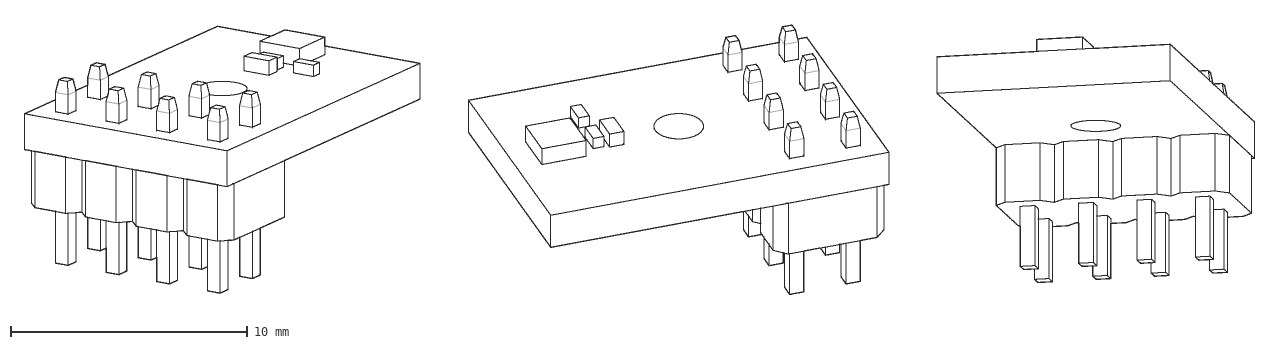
import cadquery as cq


board_length = 15.24
pitch = board_length / 6
pin_columns = 4
pin_rows = 2

board_width = pin_columns * pitch
board_thickness = 1.58
mounting_hole_diameter = 2.1

header_height = 2.5
header_width = pin_columns * pitch
header_depth = 5.0
header_y = pitch - board_length / 2
corner_cut = 0.5

total_height = 8.1
pin_width = 0.64
pin_tail = 2.6
pin_tip_width = 0.44
pin_tip_height = 0.55
pin_shaft_height = total_height - pin_tip_height
pin_bottom_z = -header_height - pin_tail

sensor_chip_size = (2.0, 2.0, 0.78)
small_passive_size = (1.0, 0.49, 0.5)
large_passive_size = (1.25, 0.64, 0.64)

sensor_chip_y = 5.53
small_passive_y = 3.8
large_passive_y = 3.02
second_passive_x = 1.81

components = [
    (sensor_chip_size, (0, sensor_chip_y)),
    (small_passive_size, (0, small_passive_y)),
    (small_passive_size, (second_passive_x, small_passive_y)),
    (large_passive_size, (0, large_passive_y)),
]


def at_pins(z):
    """Workplane at height z with a point at every pin of the header."""
    return (
        cq.Workplane("XY", origin=(0, header_y, z))
        .rarray(pitch, pitch, pin_columns, pin_rows)
    )


def make_component(size, centre):
    """Rectangular component standing on the board's upper face."""
    length, width, height = size
    return (
        cq.Workplane("XY", origin=(*centre, board_thickness))
        .rect(length, width)
        .extrude(height)
    )


def make_board():
    """Board with its mounting hole, square pin holes and soldered components."""
    board = (
        cq.Workplane("XY")
        .rect(board_width, board_length)
        .circle(mounting_hole_diameter / 2)
        .extrude(board_thickness)
    )
    board = board.cut(at_pins(0).rect(pin_width, pin_width).extrude(board_thickness))
    for size, centre in components:
        board = board.union(make_component(size, centre))
    return board


def make_header_block():
    """Plastic block with a V notch between neighbouring columns and cut outer corners."""
    block = (
        cq.Workplane("XY", origin=(0, header_y, -header_height))
        .rect(header_width, header_depth)
        .extrude(header_height)
    )
    notches = (
        cq.Workplane("XY", origin=(0, header_y, -header_height))
        .rarray(pitch, header_depth, pin_columns + 1, 2)
        .polygon(4, 2 * corner_cut)
        .extrude(header_height)
    )
    return block.cut(notches)


def make_pins():
    """Square pins through block and board, each with a tapered upper tip."""
    shafts = at_pins(pin_bottom_z).rect(pin_width, pin_width).extrude(pin_shaft_height)
    tip_base_z = pin_bottom_z + pin_shaft_height
    tip = (
        cq.Workplane("XY")
        .rect(pin_width, pin_width)
        .workplane(offset=pin_tip_height)
        .rect(pin_tip_width, pin_tip_width)
        .loft()
    )
    tips = at_pins(tip_base_z).eachpoint(tip.val(), combine=False)
    return shafts.union(tips)


def make_header():
    """Header block and its pins as one solid."""
    return make_header_block().union(make_pins())


board = make_board()
header = make_header()

result = cq.Compound.makeCompound([board.val(), header.val()])